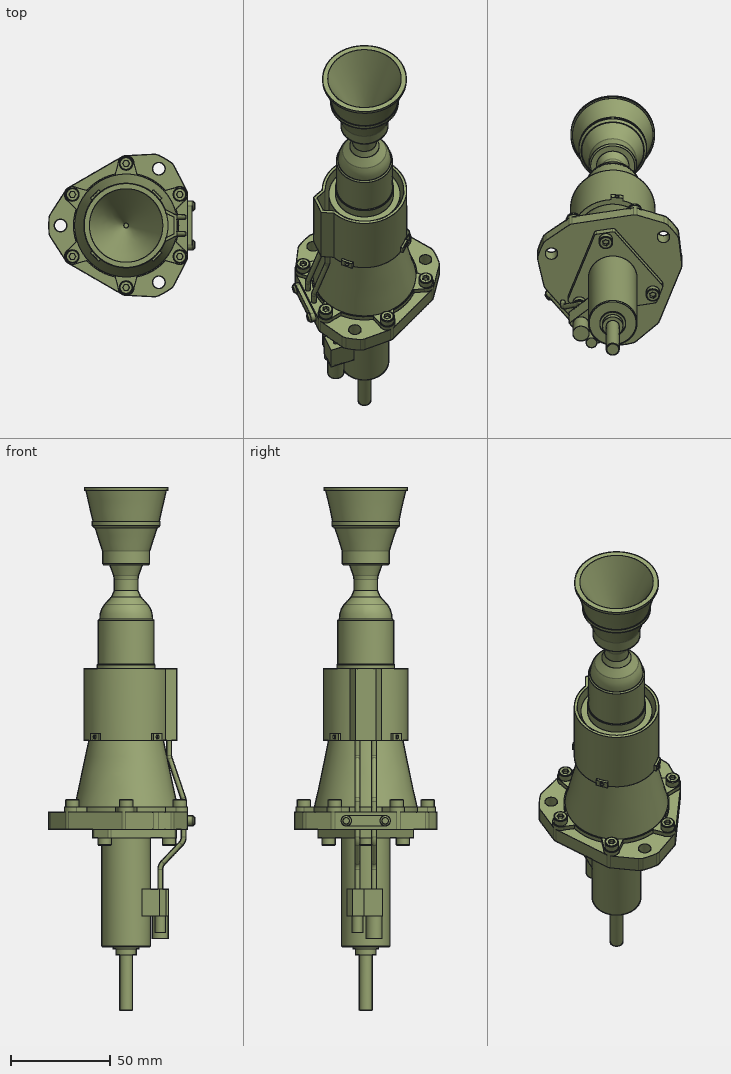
import cadquery as cq
import math


TOTAL_HEIGHT = 263.25
HORN_TOP_Z = 172.1
RIM_RADIUS = 21.1
RIM_BOTTOM_Z = 170.7
UPPER_CONE_RADIUS = 20.3
BAND_TOP_Z = 155.0
BAND_BOTTOM_Z = 151.7
BAND_CHAMFER = 1.2
BAND_RADIUS = 17.1
UPPER_CONE_END_RADIUS = 16.7
LOWER_CONE_RADIUS = 15.6
HORN_BASE_TOP_Z = 140.1
HORN_BASE_BOTTOM_Z = 133.0
HORN_BASE_RADIUS = 11.9
HORN_BASE_CHAMFER = 0.8
THROAT_RADIUS = 8.2
THROAT_END_RADIUS = 6.3
THROAT_END_Z = 127.8
NECK_RADIUS = 6.0
NECK_TOP_Z = 125.7
NECK_BOTTOM_Z = 120.2
MOUTH_RADIUS = 18.5
MOUTH_FLOOR_RADIUS = 1.2
MOUTH_DEPTH = 38.0

SHOULDER_TOP_RADIUS = 7.4
SHOULDER_TOP_Z = 117.0
DOME_TOP_RADIUS = 11.0
DOME_TOP_Z = 113.1
DOME_MID_RADIUS = 12.7
DOME_MID_Z = 110.0
DOME_BASE_RADIUS = 13.3
BARREL_TOP_Z = 105.8
BARREL_RADIUS = 14.1
BARREL_CHAMFER = 0.7
COLLAR_RADIUS = 14.6
COLLAR_TOP_Z = 83.2
COLLAR_CHAMFER = 0.4
CORE_RADIUS = 17.9
CORE_TOP_Z = 77.7

SLEEVE_BOTTOM_Z = 44.8
SLEEVE_TOP_Z = 80.9
SLEEVE_RADIUS = 21.3
SLEEVE_WALL = 1.5
SLEEVE_FLOOR = 3.6
CHANNEL_BACK_X = 25.5
CHANNEL_ROOT_HALF_WIDTH = 8.0
CHANNEL_BACK_HALF_WIDTH = 5.2
CLIP_ANGLES = (45, 135, 225, 315)
CLIP_WIDTH = 6.0
CLIP_HEIGHT = 3.6
CLIP_REACH = 22.4
CLIP_SEAT = 20.0
CLIP_HOLE_DIAMETER = 2.0
CLIP_HOLE_DEPTH = 1.0

SKIRT_TOP_RADIUS = 18.8
SKIRT_BASE_RADIUS = 25.9
FOOT_THICKNESS = 2.6
FOOT_RADIUS = 26.5
EAR_ROOT_HALF_WIDTH = 5.4
EAR_ROOT_REACH = 26.0

FLANGE_THICKNESS = 8.7
LOBE_REACH = 39.0
LOBE_CORNER_RADIUS = 5.0
LOBE_CORNER_ANGLE = 5.4
LOBE_ANGLES = (60, 180, 300)
MOUNT_HOLE_CIRCLE_RADIUS = 33.0
MOUNT_HOLE_DIAMETER = 6.2
FLANGE_BOLT_CIRCLE_RADIUS = 31.2
FLANGE_BOLT_ANGLES = (30, 90, 150, 210, 270, 330)
EAR_OFFSET_ANGLE = 30
BOLT_EAR_RADIUS = 4.0

SCREW_HEAD_RADIUS = 3.4
SCREW_HEAD_HEIGHT = 3.8
SCREW_HEAD_CHAMFER = 0.4
SCREW_SOCKET = 3.4
SCREW_SOCKET_DEPTH = 2.0

STRAP_FRONT_X = 30.5
STRAP_BACK_X = 33.2
STRAP_END_RADIUS = 2.6
STRAP_SCREW_Y = 9.8
STRAP_SCREW_TOP_X = 34.6
STRAP_SCREW_CHAMFER = 1.0

RETAINER_THICKNESS = 4.2
RETAINER_TIP_REACH = 25.3
RETAINER_TIP_HALF_WIDTH = 4.9
RETAINER_CORNER_RADIUS = 1.5
RETAINER_ANGLES = (0, 120, 240)
RETAINER_BOLT_CIRCLE_RADIUS = 21.6

BODY_RADIUS = 12.3
BODY_BOTTOM_Z = -59.1
BODY_CHAMFER = 0.5
STEP_RADIUS = 6.5
STEP_HEIGHT = 1.0
GLAND_RADIUS = 5.2
GLAND_HEIGHT = 3.0
ROD_RADIUS = 3.3
ROD_CHAMFER = 0.3
ROD_BOTTOM_Z = HORN_TOP_Z - TOTAL_HEIGHT

CABLE_RADIUS = 1.25
CABLE_Y = 4.2
CABLE_TOP_X = 21.7
CABLE_FLANGE_X = 29.0
CABLE_BEND_Z = 36.5
CABLE_FLANGE_TOP_Z = 15.0
CABLE_FLANGE_BOTTOM_Z = -5.8
CABLE_BEND_RADIUS = 5.0
CABLE_PLUG_BEND_Z = -18.2
PLUG_X = 17.2
PLUG_BLOCK_FRONT_X = 7.9
PLUG_BLOCK_BACK_X = 21.4
PLUG_BLOCK_NEAR_Y = -9.45
PLUG_BLOCK_FAR_Y = 8.4
PLUG_BLOCK_BEVEL_X = 16.9
PLUG_BLOCK_SHOULDER_X = 20.0
PLUG_BLOCK_SHOULDER_Y = -6.6
PLUG_BLOCK_STEP_Y = -1.0
PLUG_BLOCK_TOP_Z = -30.0
PLUG_BLOCK_BOTTOM_Z = -43.6
SMALL_PLUG_RADIUS = 2.7
SMALL_PLUG_BOTTOM_Z = -51.9
LARGE_PLUG_RADIUS = 4.1
LARGE_PLUG_BOTTOM_Z = -54.9


def polar(radius, angle):
    """XY point at a radius and an angle in degrees about the main axis."""
    a = math.radians(angle)
    return (radius * math.cos(a), radius * math.sin(a))


def cylinder(radius, bottom_z, top_z, center=(0, 0)):
    return cq.Workplane("XY", origin=(*center, bottom_z)).circle(radius).extrude(top_z - bottom_z)


def box(x_range, y_range, z_range):
    spans = [high - low for low, high in (x_range, y_range, z_range)]
    return cq.Workplane("XY", origin=(x_range[0], y_range[0], z_range[0])).box(*spans, centered=False)


def upper_body():
    """Revolved body from the horn rim down to the foot of the skirt."""
    foot_top_z = FLANGE_THICKNESS + FOOT_THICKNESS
    profile = (
        cq.Workplane("XZ")
        .moveTo(0, HORN_TOP_Z)
        .lineTo(RIM_RADIUS, HORN_TOP_Z)
        .lineTo(RIM_RADIUS, RIM_BOTTOM_Z)
        .lineTo(UPPER_CONE_RADIUS, RIM_BOTTOM_Z)
        .lineTo(UPPER_CONE_END_RADIUS, BAND_TOP_Z)
        .lineTo(BAND_RADIUS, BAND_TOP_Z)
        .lineTo(BAND_RADIUS, BAND_BOTTOM_Z + BAND_CHAMFER)
        .lineTo(BAND_RADIUS - BAND_CHAMFER, BAND_BOTTOM_Z)
        .lineTo(LOWER_CONE_RADIUS, BAND_BOTTOM_Z)
        .lineTo(HORN_BASE_RADIUS, HORN_BASE_TOP_Z)
        .lineTo(HORN_BASE_RADIUS, HORN_BASE_BOTTOM_Z + HORN_BASE_CHAMFER)
        .lineTo(HORN_BASE_RADIUS - HORN_BASE_CHAMFER, HORN_BASE_BOTTOM_Z)
        .lineTo(THROAT_RADIUS, HORN_BASE_BOTTOM_Z)
        .lineTo(THROAT_END_RADIUS, THROAT_END_Z)
        .lineTo(NECK_RADIUS, NECK_TOP_Z)
        .lineTo(NECK_RADIUS, NECK_BOTTOM_Z)
        .lineTo(SHOULDER_TOP_RADIUS, SHOULDER_TOP_Z)
        .lineTo(DOME_TOP_RADIUS, DOME_TOP_Z)
        .threePointArc((DOME_MID_RADIUS, DOME_MID_Z), (DOME_BASE_RADIUS, BARREL_TOP_Z))
        .lineTo(BARREL_RADIUS - BARREL_CHAMFER, BARREL_TOP_Z)
        .lineTo(BARREL_RADIUS, BARREL_TOP_Z - BARREL_CHAMFER)
        .lineTo(BARREL_RADIUS, COLLAR_TOP_Z)
        .lineTo(COLLAR_RADIUS - COLLAR_CHAMFER, COLLAR_TOP_Z)
        .lineTo(COLLAR_RADIUS, COLLAR_TOP_Z - COLLAR_CHAMFER)
        .lineTo(COLLAR_RADIUS, CORE_TOP_Z)
        .lineTo(CORE_RADIUS, CORE_TOP_Z)
        .lineTo(CORE_RADIUS, SLEEVE_BOTTOM_Z)
        .lineTo(SKIRT_TOP_RADIUS, SLEEVE_BOTTOM_Z)
        .lineTo(SKIRT_BASE_RADIUS, foot_top_z)
        .lineTo(0, foot_top_z)
        .close()
    )
    return profile.revolve(360, (0, 0, 0), (0, 1, 0))


def horn_mouth():
    """Conical cavity of the horn."""
    profile = (
        cq.Workplane("XZ")
        .moveTo(0, HORN_TOP_Z)
        .lineTo(MOUTH_RADIUS, HORN_TOP_Z)
        .lineTo(MOUTH_FLOOR_RADIUS, HORN_TOP_Z - MOUTH_DEPTH)
        .lineTo(0, HORN_TOP_Z - MOUTH_DEPTH)
        .close()
    )
    return profile.revolve(360, (0, 0, 0), (0, 1, 0))


def sleeve_outline(bottom_z):
    """Circle opened at the rear into a channel that narrows toward its back wall."""
    root_x = math.sqrt(SLEEVE_RADIUS**2 - CHANNEL_ROOT_HALF_WIDTH**2)
    return (
        cq.Workplane("XY", origin=(0, 0, bottom_z))
        .moveTo(root_x, CHANNEL_ROOT_HALF_WIDTH)
        .threePointArc((-SLEEVE_RADIUS, 0), (root_x, -CHANNEL_ROOT_HALF_WIDTH))
        .lineTo(CHANNEL_BACK_X, -CHANNEL_BACK_HALF_WIDTH)
        .lineTo(CHANNEL_BACK_X, CHANNEL_BACK_HALF_WIDTH)
        .close()
    )


def sleeve():
    """Open-topped cup; the gap to the core stays open above its floor."""
    floor_z = SLEEVE_BOTTOM_Z + SLEEVE_FLOOR
    cavity = sleeve_outline(floor_z).offset2D(-SLEEVE_WALL).extrude(SLEEVE_TOP_Z - floor_z)
    cup = sleeve_outline(SLEEVE_BOTTOM_Z).extrude(SLEEVE_TOP_Z - SLEEVE_BOTTOM_Z).cut(cavity)
    for angle in CLIP_ANGLES:
        cup = cup.union(sleeve_clip().rotate((0, 0, 0), (0, 0, 1), angle))
    return cup


def sleeve_clip():
    """Rectangular pad with a small blind hole, low on the sleeve wall on the +X side."""
    half_width = CLIP_WIDTH / 2
    z_range = (SLEEVE_BOTTOM_Z, SLEEVE_BOTTOM_Z + CLIP_HEIGHT)
    pad = box((CLIP_SEAT, CLIP_REACH), (-half_width, half_width), z_range)
    outer_face = pad.faces(">X").workplane(centerOption="CenterOfMass")
    return outer_face.hole(CLIP_HOLE_DIAMETER, CLIP_HOLE_DEPTH)


def tangent_points(center_a, radius_a, center_b, radius_b):
    """Ends of the outer tangent that lies to the right when going from circle a to circle b."""
    dx = center_b[0] - center_a[0]
    dy = center_b[1] - center_a[1]
    direction = math.atan2(dy, dx)
    normal = direction - math.acos((radius_a - radius_b) / math.hypot(dx, dy))
    nx, ny = math.cos(normal), math.sin(normal)
    start = (center_a[0] + radius_a * nx, center_a[1] + radius_a * ny)
    end = (center_b[0] + radius_b * nx, center_b[1] + radius_b * ny)
    return start, end


def flange():
    """Three-lobed plate: tangent lines wrapped round two bolt ears and two corners per lobe."""
    corner_circle_radius = LOBE_REACH - LOBE_CORNER_RADIUS
    circles = []
    for lobe in LOBE_ANGLES:
        circles += [
            (polar(FLANGE_BOLT_CIRCLE_RADIUS, lobe - EAR_OFFSET_ANGLE), BOLT_EAR_RADIUS),
            (polar(corner_circle_radius, lobe - LOBE_CORNER_ANGLE), LOBE_CORNER_RADIUS),
            (polar(corner_circle_radius, lobe + LOBE_CORNER_ANGLE), LOBE_CORNER_RADIUS),
            (polar(FLANGE_BOLT_CIRCLE_RADIUS, lobe + EAR_OFFSET_ANGLE), BOLT_EAR_RADIUS),
        ]
    centers = [center for center, _ in circles]
    plate = cq.Workplane("XY").polyline(centers).close().extrude(FLANGE_THICKNESS)
    for i, (center, radius) in enumerate(circles):
        next_center, next_radius = circles[(i + 1) % len(circles)]
        start, end = tangent_points(center, radius, next_center, next_radius)
        strip = cq.Workplane("XY").polyline([center, start, end, next_center]).close()
        plate = plate.union(strip.extrude(FLANGE_THICKNESS))
        plate = plate.union(cylinder(radius, 0, FLANGE_THICKNESS, center))
    for lobe in LOBE_ANGLES:
        tip = (
            cq.Workplane("XY")
            .moveTo(0, 0)
            .lineTo(*polar(LOBE_REACH, lobe - LOBE_CORNER_ANGLE))
            .threePointArc(polar(LOBE_REACH, lobe), polar(LOBE_REACH, lobe + LOBE_CORNER_ANGLE))
            .close()
        )
        plate = plate.union(tip.extrude(FLANGE_THICKNESS))
    return plate.clean()


def mount_holes():
    centers = [polar(MOUNT_HOLE_CIRCLE_RADIUS, angle) for angle in LOBE_ANGLES]
    return cq.Workplane("XY").pushPoints(centers).circle(MOUNT_HOLE_DIAMETER / 2).extrude(FLANGE_THICKNESS)


def foot_plate():
    """Round foot of the skirt with a tapered ear at each flange bolt."""
    top_z = FLANGE_THICKNESS + FOOT_THICKNESS
    plate = cylinder(FOOT_RADIUS, FLANGE_THICKNESS, top_z)
    for angle in FLANGE_BOLT_ANGLES:
        ear = (
            cq.Workplane("XY", origin=(0, 0, FLANGE_THICKNESS))
            .moveTo(EAR_ROOT_REACH, -EAR_ROOT_HALF_WIDTH)
            .lineTo(FLANGE_BOLT_CIRCLE_RADIUS, -BOLT_EAR_RADIUS)
            .threePointArc(
                (FLANGE_BOLT_CIRCLE_RADIUS + BOLT_EAR_RADIUS, 0),
                (FLANGE_BOLT_CIRCLE_RADIUS, BOLT_EAR_RADIUS),
            )
            .lineTo(EAR_ROOT_REACH, EAR_ROOT_HALF_WIDTH)
            .lineTo(0, EAR_ROOT_HALF_WIDTH)
            .lineTo(0, -EAR_ROOT_HALF_WIDTH)
            .close()
            .extrude(FOOT_THICKNESS)
        )
        plate = plate.union(ear.rotate((0, 0, 0), (0, 0, 1), angle))
    return plate


def screw_head():
    """Socket-head cap with its seat at Z = 0, pointing up."""
    return (
        cq.Workplane("XY")
        .circle(SCREW_HEAD_RADIUS)
        .extrude(SCREW_HEAD_HEIGHT)
        .faces(">Z")
        .chamfer(SCREW_HEAD_CHAMFER)
        .faces(">Z")
        .workplane()
        .polygon(6, SCREW_SOCKET)
        .cutBlind(-SCREW_SOCKET_DEPTH)
    )


def flange_screws():
    seat_z = FLANGE_THICKNESS + FOOT_THICKNESS
    heads = cq.Workplane("XY")
    for angle in FLANGE_BOLT_ANGLES:
        heads = heads.union(screw_head().translate((*polar(FLANGE_BOLT_CIRCLE_RADIUS, angle), seat_z)))
    return heads


def retainer():
    """Triangular plate with blunt tips under the flange, with its three screws."""
    outline = []
    tip_radius = math.hypot(RETAINER_TIP_REACH, RETAINER_TIP_HALF_WIDTH)
    half_angle = math.degrees(math.atan2(RETAINER_TIP_HALF_WIDTH, RETAINER_TIP_REACH))
    for angle in RETAINER_ANGLES:
        outline += [polar(tip_radius, angle - half_angle), polar(tip_radius, angle + half_angle)]
    plate = cq.Workplane("XY").polyline(outline).close().extrude(-RETAINER_THICKNESS)
    plate = plate.edges("|Z").fillet(RETAINER_CORNER_RADIUS)
    hanging_head = screw_head().rotate((0, 0, 0), (1, 0, 0), 180)
    for angle in RETAINER_ANGLES:
        seat = (*polar(RETAINER_BOLT_CIRCLE_RADIUS, angle), -RETAINER_THICKNESS)
        plate = plate.union(hanging_head.translate(seat))
    return plate


def rear_strap():
    """Round-ended strap across the rear edge of the flange, with two domed screws."""
    mid_plane = cq.Plane(origin=(STRAP_FRONT_X, 0, FLANGE_THICKNESS / 2), xDir=(0, 1, 0), normal=(1, 0, 0))
    strap_length = 2 * (STRAP_SCREW_Y + STRAP_END_RADIUS)
    strap = cq.Workplane(mid_plane).slot2D(strap_length, 2 * STRAP_END_RADIUS)
    strap = strap.extrude(STRAP_BACK_X - STRAP_FRONT_X)
    heads = (
        cq.Workplane(mid_plane)
        .pushPoints([(-STRAP_SCREW_Y, 0), (STRAP_SCREW_Y, 0)])
        .circle(STRAP_END_RADIUS)
        .extrude(STRAP_SCREW_TOP_X - STRAP_FRONT_X)
        .faces(">X")
        .chamfer(STRAP_SCREW_CHAMFER)
    )
    return strap.union(heads)


def lower_body():
    """Cylindrical body, stepped gland and actuating rod below the flange."""
    step_bottom_z = BODY_BOTTOM_Z - STEP_HEIGHT
    gland_bottom_z = step_bottom_z - GLAND_HEIGHT
    body = cylinder(BODY_RADIUS, BODY_BOTTOM_Z, 0).faces("<Z").chamfer(BODY_CHAMFER)
    step = cylinder(STEP_RADIUS, step_bottom_z, BODY_BOTTOM_Z)
    gland = cylinder(GLAND_RADIUS, gland_bottom_z, step_bottom_z)
    rod = cylinder(ROD_RADIUS, ROD_BOTTOM_Z, gland_bottom_z).faces("<Z").chamfer(ROD_CHAMFER)
    return body.union(step).union(gland).union(rod)


def cable(y):
    """Round cable with eased bends from the sleeve floor, through the flange, to the connector."""
    start_z = SLEEVE_BOTTOM_Z + SLEEVE_FLOOR / 2
    route = [
        (CABLE_TOP_X, start_z),
        (CABLE_TOP_X, CABLE_BEND_Z),
        (CABLE_FLANGE_X, CABLE_FLANGE_TOP_Z),
        (CABLE_FLANGE_X, CABLE_FLANGE_BOTTOM_Z),
        (PLUG_X, CABLE_PLUG_BEND_Z),
        (PLUG_X, PLUG_BLOCK_TOP_Z),
    ]
    corners = cq.Wire.makePolygon([cq.Vector(x, y, z) for x, z in route])
    path = cq.Workplane(corners.fillet(CABLE_BEND_RADIUS))
    section = cq.Workplane("XY", origin=(CABLE_TOP_X, y, start_z)).circle(CABLE_RADIUS)
    return section.sweep(path)


def connector():
    """Block beside the lower body, bevelled and stepped on its outer side, with a small and a large plug."""
    block = (
        cq.Workplane("XY", origin=(0, 0, PLUG_BLOCK_BOTTOM_Z))
        .moveTo(PLUG_BLOCK_FRONT_X, PLUG_BLOCK_NEAR_Y)
        .lineTo(PLUG_BLOCK_BEVEL_X, PLUG_BLOCK_NEAR_Y)
        .lineTo(PLUG_BLOCK_SHOULDER_X, PLUG_BLOCK_SHOULDER_Y)
        .lineTo(PLUG_BLOCK_SHOULDER_X, PLUG_BLOCK_STEP_Y)
        .lineTo(PLUG_BLOCK_BACK_X, PLUG_BLOCK_STEP_Y)
        .lineTo(PLUG_BLOCK_BACK_X, PLUG_BLOCK_FAR_Y)
        .lineTo(PLUG_BLOCK_FRONT_X, PLUG_BLOCK_FAR_Y)
        .close()
        .extrude(PLUG_BLOCK_TOP_Z - PLUG_BLOCK_BOTTOM_Z)
    )
    small_center = (PLUG_X, -CABLE_Y)
    large_center = (PLUG_X, CABLE_Y)
    small_plug = cylinder(SMALL_PLUG_RADIUS, SMALL_PLUG_BOTTOM_Z, PLUG_BLOCK_BOTTOM_Z, small_center)
    large_plug = cylinder(LARGE_PLUG_RADIUS, LARGE_PLUG_BOTTOM_Z, PLUG_BLOCK_BOTTOM_Z, large_center)
    return block.union(small_plug).union(large_plug)


def assemble():
    part = upper_body().cut(horn_mouth()).union(sleeve())
    part = part.union(flange()).union(foot_plate()).cut(mount_holes())
    part = part.union(flange_screws()).union(rear_strap())
    part = part.union(lower_body()).union(retainer())
    for y in (-CABLE_Y, CABLE_Y):
        part = part.union(cable(y))
    return part.union(connector())


result = assemble()